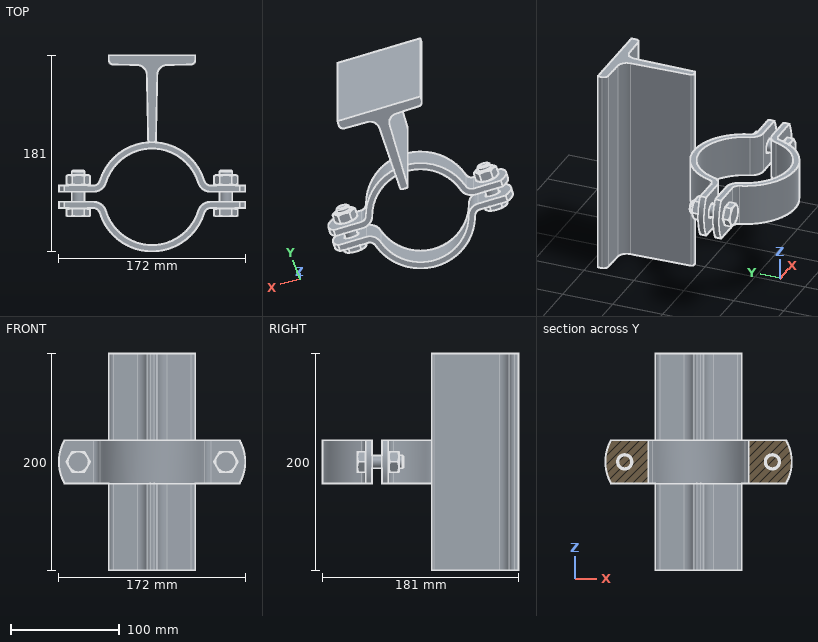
import cadquery as cq
import math

TEE_LENGTH = 200.0

PIPE_RADIUS = 44.5
STRAP_THICKNESS = 6.0
STRAP_WIDTH = 40.0
EAR_GAP = 9.0
BEND_RADIUS = 6.0
CLAMP_SPAN = 172.0
EAR_TIP_RADIUS = 40.0
BOLT_HOLE_DIAMETER = 14.0

RING_RADIUS = PIPE_RADIUS + STRAP_THICKNESS
EAR_INNER_Y = EAR_GAP / 2
EAR_OUTER_Y = EAR_INNER_Y + STRAP_THICKNESS

TEE_SIZE = 80.0
TEE_THICKNESS = 9.0
TEE_TAPER = 0.02
ROOT_RADIUS = TEE_THICKNESS
FLANGE_TIP_RADIUS = TEE_THICKNESS / 2
WEB_TIP_RADIUS = 2.0
WELD_OVERLAP = 0.05

BOLT_X = 68.0
BOLT_DIAMETER = 12.0
BOLT_LENGTH = 35.0
BOLT_TIP_CHAMFER = 1.2
HEX_ACROSS_FLATS = 19.0
HEAD_HEIGHT = 7.5
HEAD_COLLAR_DIAMETER = 17.2
HEAD_COLLAR_HEIGHT = 0.5
NUT_HEIGHT = 10.0
NUT_FACE_DIAMETER = 17.2
HEX_CHAMFER_ANGLE = 30.0

HEX_ACROSS_CORNERS = HEX_ACROSS_FLATS / math.cos(math.radians(30))


def make_tee():
    """Tee along Z, with its web standing on the ring and its flange at +Y."""
    half_width = TEE_SIZE / 2
    back_y = RING_RADIUS + TEE_SIZE
    tip_y = RING_RADIUS - WELD_OVERLAP
    middle_y = RING_RADIUS + TEE_SIZE / 2

    def underside_y(x):
        return back_y - TEE_THICKNESS + TEE_TAPER * (x - TEE_SIZE / 4)

    def web_half(y):
        return TEE_THICKNESS / 2 + TEE_TAPER * (y - middle_y)

    root_x = web_half(underside_y(TEE_THICKNESS / 2))
    root_y = underside_y(root_x)
    tip_x = web_half(tip_y)
    edge_y = underside_y(half_width)

    right_side = [(half_width, back_y), (half_width, edge_y), (root_x, root_y), (tip_x, tip_y)]
    left_side = [(-x, y) for x, y in reversed(right_side)]
    tee = (
        cq.Workplane("XY")
        .polyline(right_side + left_side)
        .close()
        .extrude(TEE_LENGTH / 2, both=True)
    )

    def round_pair(body, x, y, radius):
        picker = cq.selectors.NearestToPointSelector
        for side in (-1, 1):
            body = body.edges("|Z").edges(picker((side * x, y, 0))).fillet(radius)
        return body

    tee = round_pair(tee, root_x, root_y, ROOT_RADIUS)
    tee = round_pair(tee, half_width, edge_y, FLANGE_TIP_RADIUS)
    return round_pair(tee, tip_x, tip_y, WEB_TIP_RADIUS)


def make_strap():
    """The +Y half of the clamp: half ring, two bends and two ears."""
    half_span = CLAMP_SPAN / 2
    bend_y = EAR_OUTER_Y + BEND_RADIUS
    bend_distance = RING_RADIUS + BEND_RADIUS
    bend_x = math.sqrt(bend_distance**2 - bend_y**2)
    ring_end_angle = math.asin(bend_y / bend_distance)
    bend_middle_angle = (ring_end_angle + math.pi / 2) / 2

    def side_points(ring_radius):
        """Right-hand bend points of the strap face that follows this ring radius."""
        bend_radius = bend_distance - ring_radius
        ear = (bend_x, bend_y - bend_radius)
        middle = (
            bend_x - bend_radius * math.cos(bend_middle_angle),
            bend_y - bend_radius * math.sin(bend_middle_angle),
        )
        ring = (ring_radius * math.cos(ring_end_angle), ring_radius * math.sin(ring_end_angle))
        return ear, middle, ring

    def mirrored(point):
        return (-point[0], point[1])

    ear_out, middle_out, ring_out = side_points(RING_RADIUS)
    ear_in, middle_in, ring_in = side_points(PIPE_RADIUS)
    strap = (
        cq.Workplane("XY")
        .moveTo(half_span, EAR_OUTER_Y)
        .lineTo(*ear_out)
        .threePointArc(middle_out, ring_out)
        .threePointArc((0, RING_RADIUS), mirrored(ring_out))
        .threePointArc(mirrored(middle_out), mirrored(ear_out))
        .lineTo(-half_span, EAR_OUTER_Y)
        .lineTo(-half_span, EAR_INNER_Y)
        .lineTo(*mirrored(ear_in))
        .threePointArc(mirrored(middle_in), mirrored(ring_in))
        .threePointArc((0, PIPE_RADIUS), ring_in)
        .threePointArc(middle_in, ear_in)
        .lineTo(half_span, EAR_INNER_Y)
        .close()
        .extrude(STRAP_WIDTH / 2, both=True)
    )

    half_strap = STRAP_WIDTH / 2
    corner_x = half_span - EAR_TIP_RADIUS + math.sqrt(EAR_TIP_RADIUS**2 - half_strap**2)
    ear_outline = (
        cq.Workplane("XZ")
        .moveTo(-corner_x, -half_strap)
        .lineTo(corner_x, -half_strap)
        .threePointArc((half_span, 0), (corner_x, half_strap))
        .lineTo(-corner_x, half_strap)
        .threePointArc((-half_span, 0), (-corner_x, -half_strap))
        .close()
        .extrude(2 * RING_RADIUS, both=True)
    )
    bolt_holes = (
        cq.Workplane("XZ")
        .pushPoints([(-BOLT_X, 0), (BOLT_X, 0)])
        .circle(BOLT_HOLE_DIAMETER / 2)
        .extrude(RING_RADIUS, both=True)
    )
    return strap.intersect(ear_outline).cut(bolt_holes)


def hexagon(start_y, end_y):
    """Hexagonal prism along +Y with corners on the X axis."""
    return (
        cq.Workplane("XZ", origin=(0, start_y, 0))
        .polygon(6, HEX_ACROSS_CORNERS)
        .extrude(start_y - end_y)
    )


def cone_corners(prism, face_y, back_y, face_diameter):
    """Cone the hexagon corners at face_y down to a circle, leaving the end at back_y as it is."""
    face_radius = face_diameter / 2
    corner_radius = HEX_ACROSS_CORNERS / 2
    drop = (corner_radius - face_radius) * math.tan(math.radians(HEX_CHAMFER_ANGLE))
    inward = math.copysign(1, back_y - face_y)
    envelope = (
        cq.Workplane("XY")
        .polyline([
            (0, face_y),
            (face_radius, face_y),
            (corner_radius, face_y + inward * drop),
            (corner_radius, back_y),
            (0, back_y),
        ])
        .close()
        .revolve(360, (0, 0, 0), (0, 1, 0))
    )
    return prism.intersect(envelope)


def make_bolt():
    """Bolt on the Y axis with its head under the -Y ear and its nut on the +Y ear."""
    seat_y = -EAR_OUTER_Y
    tip_y = seat_y + BOLT_LENGTH
    shank_radius = BOLT_DIAMETER / 2
    shank = (
        cq.Workplane("XY")
        .polyline([
            (0, seat_y),
            (shank_radius, seat_y),
            (shank_radius, tip_y - BOLT_TIP_CHAMFER),
            (shank_radius - BOLT_TIP_CHAMFER, tip_y),
            (0, tip_y),
        ])
        .close()
        .revolve(360, (0, 0, 0), (0, 1, 0))
    )
    head_y = seat_y - HEAD_HEIGHT
    collar_y = seat_y - HEAD_COLLAR_HEIGHT
    head = cone_corners(hexagon(head_y, collar_y), head_y, collar_y, HEX_ACROSS_FLATS)
    collar = (
        cq.Workplane("XZ", origin=(0, seat_y, 0))
        .circle(HEAD_COLLAR_DIAMETER / 2)
        .extrude(HEAD_COLLAR_HEIGHT)
    )
    nut_y = EAR_OUTER_Y + NUT_HEIGHT
    nut = hexagon(EAR_OUTER_Y, nut_y)
    nut = cone_corners(nut, nut_y, EAR_OUTER_Y, NUT_FACE_DIAMETER)
    nut = cone_corners(nut, EAR_OUTER_Y, nut_y, NUT_FACE_DIAMETER)
    return shank.union(collar).union(head).union(nut)


rear_strap = make_strap()
front_strap = rear_strap.mirror("XZ")
bolt = make_bolt()

result = make_tee().union(rear_strap)
for bolt_x in (-BOLT_X, BOLT_X):
    result = result.union(bolt.translate((bolt_x, 0, 0)))
result = result.union(front_strap)